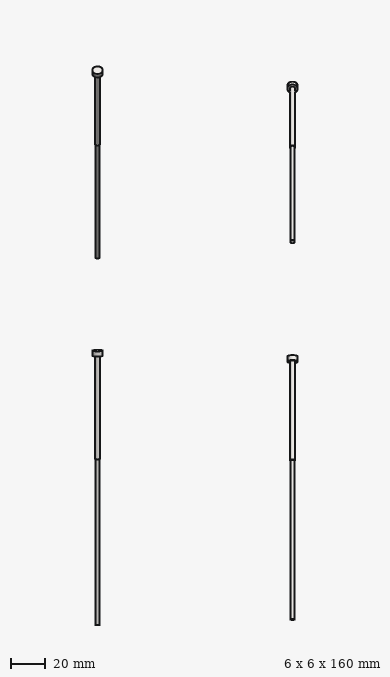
import cadquery as cq
import math

overall_length = 160.0
head_diameter = 6.0
head_height = 3.0
shank_diameter = 3.0
shank_length = 60.0
pin_diameter = 2.5
taper_half_angle = 30.0

head_radius = head_diameter / 2
shank_radius = shank_diameter / 2
pin_radius = pin_diameter / 2
taper_length = (shank_radius - pin_radius) / math.tan(math.radians(taper_half_angle))

head_bottom = overall_length - head_height
shank_bottom = head_bottom - shank_length
taper_bottom = shank_bottom - taper_length

half_section = (
    cq.Workplane("XZ")
    .moveTo(0, 0)
    .lineTo(pin_radius, 0)
    .lineTo(pin_radius, taper_bottom)
    .lineTo(shank_radius, shank_bottom)
    .lineTo(shank_radius, head_bottom)
    .lineTo(head_radius, head_bottom)
    .lineTo(head_radius, overall_length)
    .lineTo(0, overall_length)
    .close()
)

result = half_section.revolve(360, (0, 0, 0), (0, 1, 0))